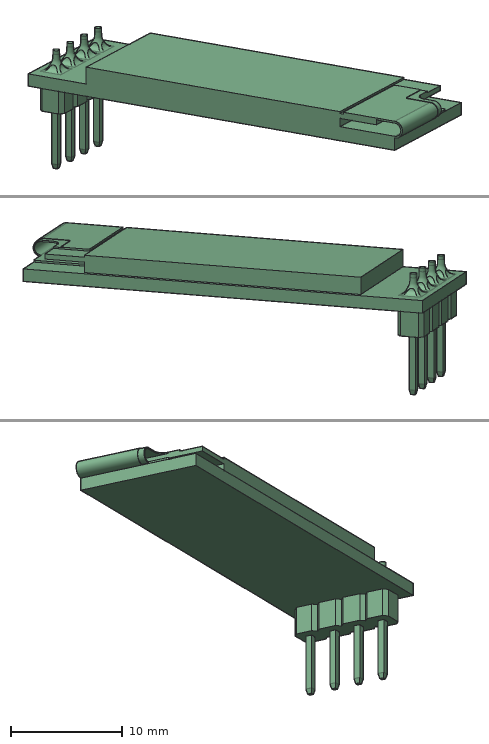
import cadquery as cq
import math


OVERALL_LENGTH = 38.85

BOARD_LENGTH = 38.02
BOARD_WIDTH = 12.08
BOARD_THICKNESS = 1.15

PANEL_LEFT = 6.02
PANEL_RIGHT = 32.35
PANEL_WIDTH = 11.6
PANEL_TOP = 2.75
LEDGE_RIGHT = 36.12
LEDGE_THICKNESS = 0.45

BASE_FILM_THICKNESS = 0.135
COVER_FILM_THICKNESS = 0.05
RIBBON_LEFT = 32.7
RIBBON_PAD_WIDTH = 9.25
COVER_PAD_RIGHT = 35.45
COVER_WIDTH = 6.45
BASE_WIDTH = 7.1
BASE_INSIDE_RADIUS = 0.95
FILM_CORNER_RADIUS = 0.25

PIN_COUNT = 4
PIN_PITCH = 2.52
PIN_ROW_X = 1.65
PIN_SIZE = 0.62
PIN_BOTTOM = -8.1
PIN_TOP = 3.05
TIP_LENGTH = 0.45
TIP_SIZE = 0.4
HOUSING_DEPTH = 2.5
HOUSING_LENGTH = 9.8
HOUSING_HEIGHT = 2.55
HOUSING_CHAMFER = 0.4

SOLDER_HEIGHT = 1.55
SOLDER_FOOT = 2.1
SOLDER_BLEND_HEIGHT = 0.62
SOLDER_BLEND_RADIUS = 0.5
SOLDER_BEND_HEIGHT = 0.2
SOLDER_BEND_RADIUS = 0.85
SOLDER_WALL_BEND = 0.7

RIBBON_THICKNESS = BASE_FILM_THICKNESS + COVER_FILM_THICKNESS
LEDGE_TOP = PANEL_TOP - RIBBON_THICKNESS
BASE_FILM_TOP = LEDGE_TOP + BASE_FILM_THICKNESS
BEND_RADIUS = (PANEL_TOP - BOARD_THICKNESS) / 2
BEND_X = OVERALL_LENGTH - BEND_RADIUS
BEND_Z = BOARD_THICKNESS + BEND_RADIUS
PIN_YS = [BOARD_WIDTH / 2 + (i - (PIN_COUNT - 1) / 2) * PIN_PITCH for i in range(PIN_COUNT)]


def block(x0, x1, y0, y1, z0, z1):
    return cq.Workplane("XY").box(x1 - x0, y1 - y0, z1 - z0, centered=False).translate((x0, y0, z0))


def make_panel():
    body = block(PANEL_LEFT, PANEL_RIGHT, 0, PANEL_WIDTH, BOARD_THICKNESS, PANEL_TOP)
    ledge = block(PANEL_RIGHT, LEDGE_RIGHT, 0, PANEL_WIDTH, LEDGE_TOP - LEDGE_THICKNESS, LEDGE_TOP)
    return body.union(ledge)


def make_bend(outer_radius, thickness, width):
    """Half tube that carries a film from the ledge down to the board."""
    inner_radius = outer_radius - thickness
    return (
        cq.Workplane("XZ", origin=(BEND_X, 0, BEND_Z))
        .moveTo(0, outer_radius)
        .threePointArc((outer_radius, 0), (0, -outer_radius))
        .lineTo(0, -inner_radius)
        .threePointArc((inner_radius, 0), (0, inner_radius))
        .close()
        .extrude(-width)
    )


def make_pad_and_strip(pad_right, strip_width, bottom, thickness):
    """Parts of an upper film: a wide pad on the ledge and a narrower strip running to the bend."""
    pad = block(RIBBON_LEFT, pad_right, 0, RIBBON_PAD_WIDTH, bottom, bottom + thickness)
    strip = block(RIBBON_LEFT, BEND_X, 0, strip_width, bottom, bottom + thickness)
    return pad, strip


def make_base_film():
    pad, strip = make_pad_and_strip(LEDGE_RIGHT, BASE_WIDTH, LEDGE_TOP, BASE_FILM_THICKNESS)
    film = pad.edges("|Z and <X and >Y").fillet(FILM_CORNER_RADIUS).union(strip)
    corner = cq.selectors.NearestToPointSelector((LEDGE_RIGHT, BASE_WIDTH, BASE_FILM_TOP))
    film = film.edges("|Z").edges(corner).fillet(BASE_INSIDE_RADIUS)
    return film.union(make_bend(BEND_RADIUS - COVER_FILM_THICKNESS, BASE_FILM_THICKNESS, BASE_WIDTH))


def make_cover_film():
    pad, strip = make_pad_and_strip(COVER_PAD_RIGHT, COVER_WIDTH, BASE_FILM_TOP, COVER_FILM_THICKNESS)
    film = pad.edges("|Z and >Y").fillet(FILM_CORNER_RADIUS).union(strip)
    corner = cq.selectors.NearestToPointSelector((COVER_PAD_RIGHT, COVER_WIDTH, PANEL_TOP))
    film = film.edges("|Z").edges(corner).fillet(FILM_CORNER_RADIUS)
    return film.union(make_bend(BEND_RADIUS, COVER_FILM_THICKNESS, COVER_WIDTH))


def make_lower_film():
    """End of the ribbon lying on the board under the ledge."""
    top = BOARD_THICKNESS + RIBBON_THICKNESS
    film = block(PANEL_RIGHT, BEND_X, 0, RIBBON_PAD_WIDTH, BOARD_THICKNESS, top)
    return film.edges("|Z and >X and >Y").fillet(FILM_CORNER_RADIUS)


def make_housing():
    """Header strip with chamfered ends and V notches between the pins."""
    housing = (
        cq.Workplane("XY")
        .center(PIN_ROW_X, BOARD_WIDTH / 2)
        .rect(HOUSING_DEPTH, HOUSING_LENGTH)
        .extrude(-HOUSING_HEIGHT)
        .edges("|Z")
        .chamfer(HOUSING_CHAMFER)
    )
    notch_size = HOUSING_CHAMFER * math.sqrt(2)
    for y in PIN_YS[:-1]:
        for side in (-1, 1):
            notch = (
                cq.Workplane("XY")
                .rect(notch_size, notch_size)
                .extrude(-HOUSING_HEIGHT)
                .rotate((0, 0, 0), (0, 0, 1), 45)
                .translate((PIN_ROW_X + side * HOUSING_DEPTH / 2, y + PIN_PITCH / 2, 0))
            )
            housing = housing.cut(notch)
    return housing


def make_pin():
    shank = cq.Workplane("XY").rect(PIN_SIZE, PIN_SIZE).extrude(PIN_BOTTOM + TIP_LENGTH)
    tip = (
        cq.Workplane("XY", origin=(0, 0, PIN_BOTTOM))
        .rect(TIP_SIZE, TIP_SIZE)
        .workplane(offset=TIP_LENGTH)
        .rect(PIN_SIZE, PIN_SIZE)
        .loft(ruled=True)
    )
    top = cq.Workplane("XY").circle(PIN_SIZE / 2).extrude(PIN_TOP)
    return shank.union(tip).union(top)


def make_solder():
    """Flared joint, square at the foot: a round flare trimmed by two crossing flared walls."""
    foot = SOLDER_FOOT / 2
    flare_points = [
        (SOLDER_BEND_RADIUS, SOLDER_BEND_HEIGHT),
        (SOLDER_BLEND_RADIUS, SOLDER_BLEND_HEIGHT),
        (PIN_SIZE / 2, SOLDER_HEIGHT),
    ]
    flare = (
        cq.Workplane("XZ")
        .moveTo(0, 0)
        .lineTo(foot * math.sqrt(2), 0)
        .spline(flare_points, tangents=[(-1, 0), (0, 1)], includeCurrent=True)
        .lineTo(0, SOLDER_HEIGHT)
        .close()
        .revolve(360, (0, 0, 0), (0, 1, 0))
    )
    wall = (
        cq.Workplane("XZ")
        .moveTo(-foot, 0)
        .lineTo(foot, 0)
        .threePointArc((SOLDER_WALL_BEND, SOLDER_BEND_HEIGHT), (SOLDER_BLEND_RADIUS, SOLDER_BLEND_HEIGHT))
        .lineTo(SOLDER_BLEND_RADIUS, SOLDER_HEIGHT)
        .lineTo(-SOLDER_BLEND_RADIUS, SOLDER_HEIGHT)
        .lineTo(-SOLDER_BLEND_RADIUS, SOLDER_BLEND_HEIGHT)
        .threePointArc((-SOLDER_WALL_BEND, SOLDER_BEND_HEIGHT), (-foot, 0))
        .close()
        .extrude(SOLDER_FOOT, both=True)
    )
    crossing_wall = wall.rotate((0, 0, 0), (0, 0, 1), 90)
    return flare.intersect(wall).intersect(crossing_wall)


result = block(0, BOARD_LENGTH, 0, BOARD_WIDTH, 0, BOARD_THICKNESS)
result = result.union(make_panel())
result = result.union(make_base_film())
result = result.union(make_cover_film())
result = result.union(make_lower_film())
result = result.union(make_housing())

pin = make_pin()
solder = make_solder()
for pin_y in PIN_YS:
    result = result.union(pin.translate((PIN_ROW_X, pin_y, 0)))
    result = result.union(solder.translate((PIN_ROW_X, pin_y, BOARD_THICKNESS)))